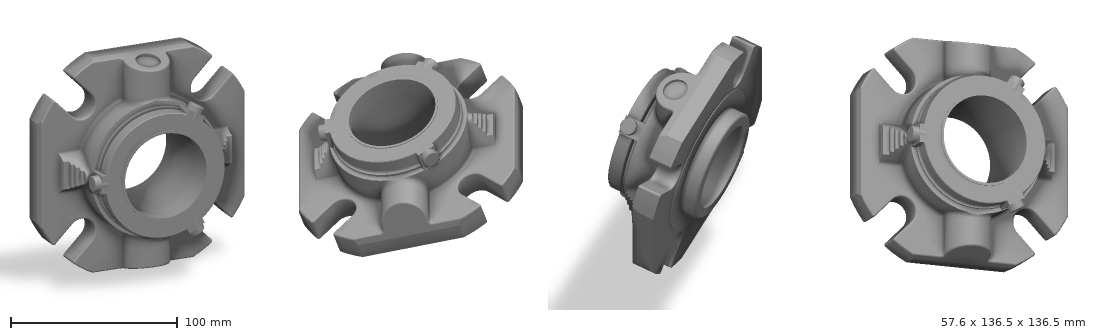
import cadquery as cq
import math


side = 136.5
half_side = side / 2
corner_radius = 75.2
flange_thickness = 15.2
front_edge_round = 1.1
draft_start = 10.5
draft_angle = 14.0
slot_half_width = 8.7
slot_center = 40.5
slot_mouth_round = 1.4
pilot_diameter = 93.0
pilot_height = 0.4

bore_diameter = 53.9
sleeve_back = -10.4
sleeve_end = 47.2
sleeve_back_diameter = 69.3
sleeve_back_round = 1.6
sleeve_front_diameter = 56.4
shoulder_start = 37.1
shoulder_diameter = 57.6
sleeve_end_diameter = 57.0

body_diameter = 85.7
body_end = 33.7
root_round = 2.0

boss_radius = 14.3
boss_tip = 33.3
recess_diameter = 15.3
recess_center = 22.0
recess_depth = 2.0

rib_half_angle = 29.4
rib_tip = 32.1
rib_tip_round = 4.5
rib_height = 55.7
first_step_end = 21.3
first_step_drop = 4.0
step_length = 2.6
step_drop = 2.0
short_step_count = 3

neck_diameter = 78.9
seal_start = 34.8
seal_end = 36.0
seal_diameter = 80.4
collar_start = 38.1
collar_end = 46.7
collar_diameter = 78.9
collar_chamfer = 0.4
lug_half_width = 5.7
lug_thickness = 4.5
lug_height = 42.2
screw_diameter = 10.0
screw_chamfer = 0.4
screw_x = 41.9
screw_height = 46.4
screw_count = 3

tolerance = 0.07
overlap = 1.4
corner_angles = (45, 135, 225, 315)
side_angles = (0, 90, 180, 270)
opposite_angles = (0, 180)
draft_slope = math.tan(math.radians(draft_angle))


def disc(diameter, start, end):
    """Solid cylinder on the X axis."""
    return cq.Workplane("YZ").workplane(offset=start).circle(diameter / 2).extrude(end - start)


def around_axis(shape, angle):
    return shape.rotate((0, 0, 0), (1, 0, 0), angle)


def side_height(x):
    """Distance of a drafted side from the axis at a given X."""
    return half_side - draft_slope * (x - draft_start)


def make_draft_wedge():
    """Space outside the drafted +Z side."""
    end = body_end + overlap
    wedge = [(draft_start, half_side), (end, side_height(end)), (end, half_side)]
    return cq.Workplane("XZ").polyline(wedge).close().extrude(half_side, both=True)


def make_slot():
    """Round-ended slot opening outward along +Y."""
    center = slot_center * math.sqrt(2)
    round_end = cq.Workplane("YZ").center(center, 0).circle(slot_half_width).extrude(flange_thickness)
    channel = cq.Workplane("XY").box(
        flange_thickness, corner_radius, 2 * slot_half_width, centered=(False, False, True)
    )
    return round_end.union(channel.translate((0, center, 0)))


def make_flange():
    """Square flange with rounded-off corners, open corner slots and drafted sides."""
    square = cq.Workplane("YZ").rect(side, side).extrude(flange_thickness)
    flange = square.intersect(disc(2 * corner_radius, 0, flange_thickness))

    slot = make_slot()
    for angle in corner_angles:
        flange = flange.cut(around_axis(slot, angle))

    mouth = math.sqrt(corner_radius**2 - slot_half_width**2)
    for angle in corner_angles:
        turn = math.radians(angle)
        for edge_side in (-1, 1):
            y = mouth * math.cos(turn) - edge_side * slot_half_width * math.sin(turn)
            z = mouth * math.sin(turn) + edge_side * slot_half_width * math.cos(turn)
            corner = cq.selectors.NearestToPointSelector((flange_thickness / 2, y, z))
            flange = flange.edges("|X").edges(corner).fillet(slot_mouth_round)

    for angle in side_angles:
        flange = flange.cut(around_axis(make_draft_wedge(), angle))
    return flange


def make_boss():
    """Round-ended boss on +Z whose sloping top continues the drafted flange side."""
    end_center = boss_tip - boss_radius
    outline = (
        cq.Workplane("XY")
        .moveTo(draft_start, -boss_radius)
        .lineTo(end_center, -boss_radius)
        .threePointArc((boss_tip, 0), (end_center, boss_radius))
        .lineTo(draft_start, boss_radius)
        .close()
        .extrude(half_side)
    )
    return outline.cut(make_draft_wedge())


def make_rib():
    """Rib on +Y, narrowing to a rounded tip while its top steps down toward the body's end."""
    half_angle = math.radians(rib_half_angle)
    tangent_x = rib_tip - rib_tip_round * (1 - math.sin(half_angle))
    tangent_z = rib_tip_round * math.cos(half_angle)
    root_half_width = tangent_z + (tangent_x - draft_start) * math.tan(half_angle)
    outline = (
        cq.Workplane("XZ")
        .moveTo(draft_start, -root_half_width)
        .lineTo(tangent_x, -tangent_z)
        .threePointArc((rib_tip, 0), (tangent_x, tangent_z))
        .lineTo(draft_start, root_half_width)
        .close()
        .extrude(-rib_height)
    )

    x = first_step_end
    y = rib_height - first_step_drop
    steps = [(draft_start, 0), (draft_start, rib_height), (x, rib_height), (x, y)]
    for _ in range(short_step_count):
        x += step_length
        steps.append((x, y))
        y -= step_drop
        steps.append((x, y))
    steps += [(rib_tip + overlap, y), (rib_tip + overlap, 0)]
    stairs = cq.Workplane("XY").polyline(steps).close().extrude(2 * root_half_width, both=True)
    return outline.intersect(stairs)


def make_recess():
    """Shallow round recess, square to the sloping top of the +Z boss."""
    slope = math.radians(draft_angle)
    top = cq.Plane(
        origin=(recess_center, 0, side_height(recess_center)),
        xDir=(math.cos(slope), 0, -math.sin(slope)),
        normal=(math.sin(slope), 0, math.cos(slope)),
    )
    return cq.Workplane(top).circle(recess_diameter / 2).extrude(-recess_depth)


def root_edges(housing):
    """Inside corners where the body, bosses and ribs rise from each other and from the flange."""
    edges = []
    for edge in housing.edges().vals():
        middle = edge.positionAt(0.5)
        radius = math.hypot(middle.y, middle.z)
        past_flange = middle.x > flange_thickness - tolerance
        on_body = past_flange and middle.x < body_end and abs(radius - body_diameter / 2) < tolerance
        on_flange = abs(middle.x - flange_thickness) < tolerance
        straight = edge.geomType() == "LINE"
        along_boss = straight and abs(abs(middle.y) - boss_radius) < tolerance
        along_rib = straight and abs(middle.z) < boss_radius and abs(middle.y) < rib_height - tolerance
        if on_body or (on_flange and (along_boss or along_rib)):
            edges.append(edge)
    return edges


def front_rim_edges(housing):
    """Outer rim of the flange's front face, slots included, and the boss rims that run on from it."""
    edges = []
    for edge in housing.edges().vals():
        box = edge.BoundingBox()
        middle = edge.positionAt(0.5)
        in_face = abs(box.xmin - flange_thickness) + abs(box.xmax - flange_thickness) < tolerance
        outside_pilot = math.hypot(middle.y, middle.z) > pilot_diameter / 2
        beside_boss = abs(middle.y) < boss_radius + 2 * root_round
        if in_face and outside_pilot and not beside_boss:
            edges.append(edge)
    return edges


def make_housing():
    """Flange, body, bosses and ribs blended together."""
    rough_end = body_end + 2 * root_round
    housing = make_flange().union(disc(body_diameter, 0, rough_end))
    for angle in opposite_angles:
        housing = housing.union(around_axis(make_boss(), angle))
        housing = housing.union(around_axis(make_rib(), angle))
    housing = housing.newObject(root_edges(housing)).fillet(root_round)
    housing = housing.newObject(front_rim_edges(housing)).fillet(front_edge_round)

    housing = housing.cut(disc(side, body_end, rough_end))
    return housing.cut(make_recess())


def make_sleeve():
    """Sleeve behind and in front of the housing, with the low pilot disc on the mounting face."""
    back = disc(sleeve_back_diameter, sleeve_back, 0).faces("<X").edges().fillet(sleeve_back_round)
    pilot = disc(pilot_diameter, -pilot_height, 0)
    front = disc(sleeve_front_diameter, 0, collar_start)
    shoulder = disc(shoulder_diameter, shoulder_start, collar_start)
    end = disc(sleeve_end_diameter, collar_start, sleeve_end)
    return back.union(pilot).union(front).union(shoulder).union(end)


def make_screw_lug():
    """Flat tab on -Y that bridges from the seal to the collar, with a screw standing on it."""
    lug = cq.Workplane("XY").box(
        collar_end - body_end, lug_thickness, 2 * lug_half_width, centered=(False, False, True)
    )
    screw = (
        cq.Workplane("XZ", origin=(screw_x, -lug_height + lug_thickness, 0))
        .circle(screw_diameter / 2)
        .extrude(screw_height - lug_height + lug_thickness)
        .faces("<Y")
        .chamfer(screw_chamfer)
    )
    return lug.translate((body_end, -lug_height, 0)).union(screw)


def make_collar():
    """Seal and locking ring in front of the body, with evenly spaced screw lugs."""
    collar = disc(neck_diameter, body_end, seal_start)
    collar = collar.union(disc(seal_diameter, seal_start, seal_end))
    locking_ring = disc(collar_diameter, collar_start, collar_end).edges().chamfer(collar_chamfer)
    collar = collar.union(locking_ring)
    for i in range(screw_count):
        collar = collar.union(around_axis(make_screw_lug(), i * 360 / screw_count))
    return collar


result = make_housing().union(make_sleeve()).union(make_collar())
result = result.cut(disc(bore_diameter, sleeve_back, sleeve_end))